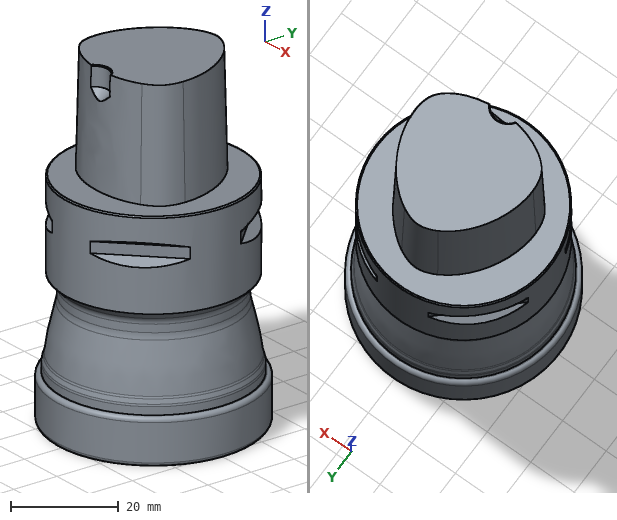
import cadquery as cq
import math

TOTAL_HEIGHT = 74.0
CAP_HEIGHT = 10.1
BAND_TOP = 11.85
CONE_BOTTOM = 12.3
CONE_TOP = 13.25
FLARE_BOTTOM = 13.7
NECK_BOTTOM = 25.5
COLLAR_BOTTOM = 30.1
COLLAR_TOP = 49.8

CAP_RADIUS = 44.0 / 2
BAND_RADIUS = 20.9
CONE_BOTTOM_RADIUS = 20.8
CONE_TOP_RADIUS = 20.5
FLARE_BOTTOM_RADIUS = 20.35
NECK_RADIUS = 36.0 / 2
COLLAR_RADIUS = 40.0 / 2

CAP_TOP_FILLET = 0.95
CAP_BOTTOM_FILLET = 0.95
COLLAR_CHAMFER = 0.3
UPPER_NECK_FILLET = 2.0
LOWER_NECK_FILLET = 5.0
SHOULDER_ANGLE = math.radians(45)
FLARE_START_ANGLE = math.asin(0.28)

GROOVE_COUNT = 4
GROOVE_FIRST_ANGLE = 45.0
GROOVE_HEIGHT = 41.995
GROOVE_FLOOR_DISTANCE = 17.7
GROOVE_FLOOR_WIDTH = 2.4
GROOVE_FLANK_ANGLE = math.radians(30)

SHANK_BASE_DIAMETER = 28.2
TAPER = 1 / 20
LOBE_ECCENTRICITY = 1.0
LOBE_COUNT = 3
LOBE_HALF_SPAN = 29.0
POINTS_PER_FACE = 9

NOTCH_RADIUS = 3.4
NOTCH_AXIS_Y = -14.05
NOTCH_DEPTH = 4.4
NOTCH_TIP_DEPTH = 3.1
NOTCH_CHAMFER = 0.2


def make_cap():
    cap = cq.Workplane("XY").circle(CAP_RADIUS).extrude(CAP_HEIGHT)
    cap = cap.faces(">Z").edges().fillet(CAP_TOP_FILLET)
    return cap.faces("<Z").edges().fillet(CAP_BOTTOM_FILLET)


def make_turned_body():
    """Flare, neck and collar, revolved about Z from a half profile of (radius, height)."""
    upper_rise = UPPER_NECK_FILLET * (1 - math.cos(SHOULDER_ANGLE))
    upper_length = UPPER_NECK_FILLET * math.sin(SHOULDER_ANGLE)
    shoulder_radius = NECK_RADIUS + upper_rise
    shoulder_height = COLLAR_BOTTOM - (COLLAR_RADIUS - shoulder_radius) / math.tan(SHOULDER_ANGLE)
    neck_top = shoulder_height - upper_length

    flare_top_radius = NECK_RADIUS + LOWER_NECK_FILLET * (1 - math.cos(FLARE_START_ANGLE))
    flare_top = NECK_BOTTOM - LOWER_NECK_FILLET * math.sin(FLARE_START_ANGLE)

    profile = (
        cq.Workplane("XZ")
        .moveTo(0, COLLAR_TOP)
        .lineTo(COLLAR_RADIUS - COLLAR_CHAMFER, COLLAR_TOP)
        .lineTo(COLLAR_RADIUS, COLLAR_TOP - COLLAR_CHAMFER)
        .lineTo(COLLAR_RADIUS, COLLAR_BOTTOM)
        .lineTo(shoulder_radius, shoulder_height)
        .tangentArcPoint((NECK_RADIUS, neck_top), relative=False)
        .lineTo(NECK_RADIUS, NECK_BOTTOM)
        .tangentArcPoint((flare_top_radius, flare_top), relative=False)
        .tangentArcPoint((FLARE_BOTTOM_RADIUS, FLARE_BOTTOM), relative=False)
        .lineTo(CONE_TOP_RADIUS, CONE_TOP)
        .lineTo(CONE_BOTTOM_RADIUS, CONE_BOTTOM)
        .lineTo(BAND_RADIUS, BAND_TOP)
        .lineTo(BAND_RADIUS, CAP_HEIGHT)
        .lineTo(0, CAP_HEIGHT)
        .close()
    )
    return profile.revolve(360, (0, 0, 0), (0, 1, 0))


def make_groove_cutter(angle):
    """Straight groove with a flat floor and sloping flanks, facing the given direction."""
    outer_distance = COLLAR_RADIUS + 0.75
    floor_half = GROOVE_FLOOR_WIDTH / 2
    flank_rise = (outer_distance - GROOVE_FLOOR_DISTANCE) * math.tan(GROOVE_FLANK_ANGLE)
    mouth_half = floor_half + flank_rise
    cutter = (
        cq.Workplane("XZ")
        .polyline([
            (GROOVE_FLOOR_DISTANCE, GROOVE_HEIGHT - floor_half),
            (outer_distance, GROOVE_HEIGHT - mouth_half),
            (outer_distance, GROOVE_HEIGHT + mouth_half),
            (GROOVE_FLOOR_DISTANCE, GROOVE_HEIGHT + floor_half),
        ])
        .close()
        .extrude(COLLAR_RADIUS, both=True)
    )
    return cutter.rotate((0, 0, 0), (0, 0, 1), angle)


def lobed_point(diameter, parameter, height):
    """Point on the three-lobed curve; parameter 0 is the lobe tip on +Y."""
    t = math.radians(parameter)
    e = LOBE_ECCENTRICITY
    along = diameter / 2 * math.cos(t) + 2 * e * math.cos(2 * t) - e * math.cos(4 * t)
    across = diameter / 2 * math.sin(t) - 2 * e * math.sin(2 * t) - e * math.sin(4 * t)
    return cq.Vector(-across, along, height)


def lobed_wire(diameter, height):
    """Closed outline with one curve for each lobe and each flank between lobes."""
    pitch = 360 / LOBE_COUNT
    edges = []
    for lobe in range(LOBE_COUNT):
        lobe_start = lobe * pitch - LOBE_HALF_SPAN
        lobe_end = lobe * pitch + LOBE_HALF_SPAN
        next_start = lobe_start + pitch
        for start, end in ((lobe_start, lobe_end), (lobe_end, next_start)):
            step = (end - start) / (POINTS_PER_FACE - 1)
            points = [lobed_point(diameter, start + i * step, height) for i in range(POINTS_PER_FACE)]
            edges.append(cq.Edge.makeSpline(points))
    return cq.Wire.assembleEdges(edges)


def make_shank():
    top_diameter = SHANK_BASE_DIAMETER - TAPER * (TOTAL_HEIGHT - COLLAR_TOP)
    base = lobed_wire(SHANK_BASE_DIAMETER, COLLAR_TOP)
    top = lobed_wire(top_diameter, TOTAL_HEIGHT)
    return cq.Workplane(cq.Solid.makeLoft([base, top], True))


def make_notch_cutter():
    """Drill shape with a conical tip and a slightly widened mouth."""
    cylinder_bottom = TOTAL_HEIGHT - NOTCH_DEPTH
    profile = (
        cq.Workplane("XZ")
        .polyline([
            (0, TOTAL_HEIGHT),
            (NOTCH_RADIUS + NOTCH_CHAMFER, TOTAL_HEIGHT),
            (NOTCH_RADIUS, TOTAL_HEIGHT - NOTCH_CHAMFER),
            (NOTCH_RADIUS, cylinder_bottom),
            (0, cylinder_bottom - NOTCH_TIP_DEPTH),
        ])
        .close()
    )
    return profile.revolve(360, (0, 0, 0), (0, 1, 0)).translate((0, NOTCH_AXIS_Y, 0))


def make_holder():
    shank = make_shank().cut(make_notch_cutter())
    holder = make_turned_body().union(shank)
    for i in range(GROOVE_COUNT):
        angle = GROOVE_FIRST_ANGLE + i * 360 / GROOVE_COUNT
        holder = holder.cut(make_groove_cutter(angle))
    return holder


cap = make_cap()
holder = make_holder()
result = cq.Compound.makeCompound([cap.val(), *holder.vals()])